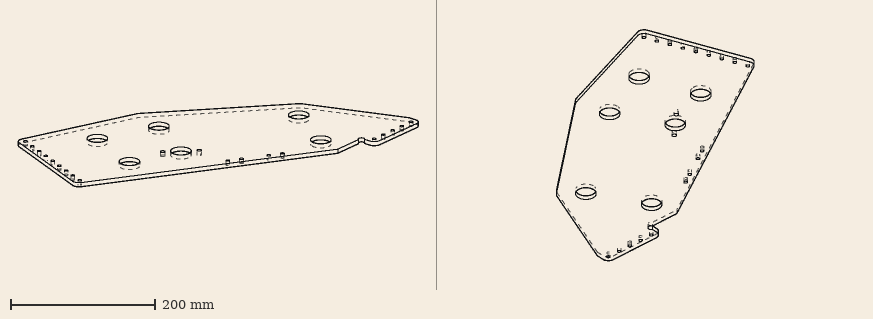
import cadquery as cq
import math

thickness = 6.35
corner_radius = 10.0
hole_pitch = 20.0
hole_inset = 10.0
small_hole_diameter = 5.0

tab_height = 100.0
tab_depth = 25.0
tab_hole_count = 5
relief_radius = 4.5
relief_offset = 1.75

top_corner = (-21.8, 0.0)
upper_left_corner = (-170.6, -56.9)
mid_left_corner = (-321.05, -228.55)
side_edge_top = (-tab_depth, -151.1)

bottom_slope = math.radians(22.3)
bottom_hole_count = 9
first_bottom_hole = (-376.5, -405.8)
lower_left_corner = (-389.22, -411.58)
bottom_edge_length = 176.7

first_side_hole = (-74.2, -211.9)
side_hole_steps = (0, 1, 3, 4)

large_hole_diameter = 28.575
pair_spacing = 95.0
upper_pair_start = (-145.9, -90.2)
middle_pair_start = (-269.25, -245.3)
lower_pair_start = (-306.7, -333.9)

screw_hole_diameter = 6.35
screw_hole_distance = 25.4
screw_hole_angle = math.radians(45)


def step_from(start, distance, angle):
    """Point at a distance from start in the direction of angle."""
    return (start[0] + distance * math.cos(angle), start[1] + distance * math.sin(angle))


lower_right_corner = step_from(lower_left_corner, bottom_edge_length, -bottom_slope)
side_angle = math.atan2(
    side_edge_top[1] - lower_right_corner[1],
    side_edge_top[0] - lower_right_corner[0],
)
across_side = side_angle - math.pi / 2


def make_blank():
    """Plate with all corners rounded but the two ends of the upright edge below the tab."""
    tab_top = (0.0, 0.0)
    tab_bottom = (0.0, -tab_height)
    tab_inner = (-tab_depth, -tab_height)
    outline = [
        top_corner, tab_top, tab_bottom, tab_inner, side_edge_top,
        lower_right_corner, lower_left_corner, mid_left_corner, upper_left_corner,
    ]
    blank = cq.Workplane("XY").polyline(outline).close().extrude(thickness)
    rounded_corners = [corner for corner in outline if corner not in (tab_inner, side_edge_top)]
    for x, y in rounded_corners:
        nearest_edge = cq.NearestToPointSelector((x, y, thickness / 2))
        blank = blank.edges("|Z").edges(nearest_edge).fillet(corner_radius)
    return blank


def drill(plate, points, diameter):
    """Cut round through holes at the given points."""
    cutters = cq.Workplane("XY").pushPoints(points).circle(diameter / 2).extrude(thickness)
    return plate.cut(cutters)


def tab_holes():
    return [(-hole_inset, -hole_inset - i * hole_pitch) for i in range(tab_hole_count)]


def bottom_holes():
    return [
        step_from(first_bottom_hole, i * hole_pitch, -bottom_slope)
        for i in range(bottom_hole_count)
    ]


def side_holes():
    return [step_from(first_side_hole, -step * hole_pitch, side_angle) for step in side_hole_steps]


def large_holes():
    pairs = [
        (upper_pair_start, across_side),
        (middle_pair_start, across_side),
        (lower_pair_start, -bottom_slope),
    ]
    points = []
    for start, angle in pairs:
        points += [start, step_from(start, pair_spacing, angle)]
    return points


def screw_holes():
    center = step_from(middle_pair_start, pair_spacing, across_side)
    return [
        step_from(center, distance, screw_hole_angle)
        for distance in (screw_hole_distance, -screw_hole_distance)
    ]


relief_center = (-tab_depth + relief_offset, -tab_height - relief_offset)

result = make_blank()
result = drill(result, [relief_center], 2 * relief_radius)
result = drill(result, tab_holes() + bottom_holes() + side_holes(), small_hole_diameter)
result = drill(result, large_holes(), large_hole_diameter)
result = drill(result, screw_holes(), screw_hole_diameter)